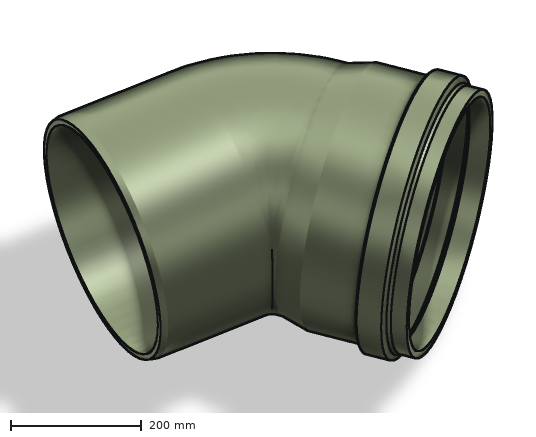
import cadquery as cq
import math


pipe_radius = 400.5 / 2
bore_radius = 376.0 / 2
spigot_length = 196.5
spigot_chamfer_length = 12.0
spigot_chamfer_depth = 3.0
bend_radius = 187.0
bend_angle = 45

socket_length = 225.0
neck_length = 9.5
cone_end = 53.5
bore_cone_end = 59.0
socket_radius = 425.0 / 2
socket_bore_radius = 402 / 2

ring_radius = 450.5 / 2
ring_rear = 79.0
ring_front = 37.0
ring_edge = 2.5
ring_front_foot = 32.0
ring_front_foot_radius = 430.0 / 2
lip_length = 25.5

groove_radius = 427.5 / 2
groove_shoulder_radius = 424.0 / 2
groove_rear = 71.5
groove_floor_front = 41.5
groove_shoulder = 39.5
groove_front = 33.0
groove_edge = 2.5


def revolved(profile):
    """Turn a list of (radius, Y) points around the Y axis."""
    return cq.Workplane("XY").polyline(profile).close().revolve(360, (0, 0), (0, 1))


def bend(radius):
    """Sweep a pipe section around the bend axis.

    The radius exceeds the bend radius, so the section is cut off at the bend axis.
    """
    half_chord = math.sqrt(radius**2 - bend_radius**2)
    section = (
        cq.Workplane("XZ")
        .moveTo(bend_radius, -half_chord)
        .threePointArc((-radius, 0), (bend_radius, half_chord))
        .close()
    )
    return section.revolve(bend_angle, (bend_radius, half_chord), (bend_radius, -half_chord))


def at_bend_end(body):
    """Move a body from the start of the bend to its end."""
    return body.rotate((bend_radius, 0, 0), (bend_radius, 0, 1), -bend_angle)


def from_mouth(distance):
    return socket_length - distance


spigot = revolved([
    (0, -spigot_length),
    (pipe_radius - spigot_chamfer_depth, -spigot_length),
    (pipe_radius, -spigot_length + spigot_chamfer_length),
    (pipe_radius, 0),
    (0, 0),
])

spigot_bore = revolved([
    (0, -spigot_length),
    (bore_radius, -spigot_length),
    (bore_radius, 0),
    (0, 0),
])

socket = revolved([
    (0, 0),
    (pipe_radius, 0),
    (pipe_radius, neck_length),
    (socket_radius, cone_end),
    (socket_radius, from_mouth(ring_rear + ring_edge)),
    (socket_radius + ring_edge, from_mouth(ring_rear)),
    (ring_radius - ring_edge, from_mouth(ring_rear)),
    (ring_radius, from_mouth(ring_rear - ring_edge)),
    (ring_radius, from_mouth(ring_front)),
    (ring_front_foot_radius, from_mouth(ring_front_foot)),
    (socket_radius, from_mouth(lip_length)),
    (socket_radius, socket_length),
    (0, socket_length),
])

socket_bore = revolved([
    (0, 0),
    (bore_radius, 0),
    (bore_radius, neck_length),
    (socket_bore_radius, bore_cone_end),
    (socket_bore_radius, from_mouth(groove_rear)),
    (groove_radius, from_mouth(groove_rear)),
    (groove_radius, from_mouth(groove_floor_front)),
    (groove_shoulder_radius, from_mouth(groove_shoulder)),
    (socket_bore_radius + groove_edge, from_mouth(groove_front + groove_edge)),
    (socket_bore_radius, from_mouth(groove_front)),
    (socket_bore_radius, socket_length),
    (0, socket_length),
])

outside = spigot.union(bend(pipe_radius)).union(at_bend_end(socket))
inside = spigot_bore.union(bend(bore_radius)).union(at_bend_end(socket_bore))
result = outside.cut(inside)